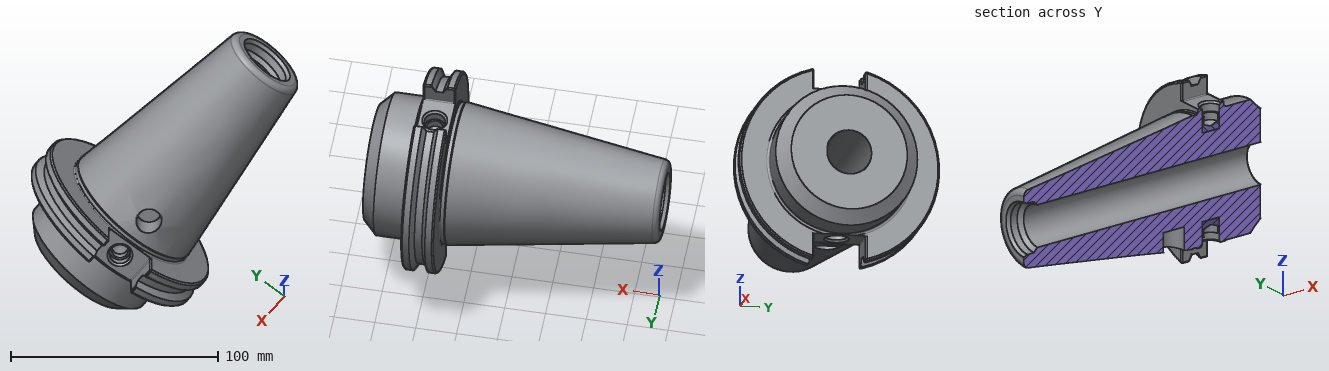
import cadquery as cq
import math


GAUGE_RADIUS = 69.85 / 2
TAPER_LENGTH = 101.6
TAPER_SLOPE = 7 / 48
TAPER_END_FILLET = 3.2

NECK_RADIUS = 69.34 / 2
NECK_STEP_LENGTH = 0.5
NECK_FILLET = 0.7

FLANGE_RADIUS = 98.425 / 2
FLANGE_START = 3.175
FLANGE_WIDTH = 15.875
FLANGE_END = FLANGE_START + FLANGE_WIDTH
FLANGE_CENTER = FLANGE_START + FLANGE_WIDTH / 2
FLANGE_CHAMFER = 0.8
GROOVE_BOTTOM_RADIUS = 91.3 / 2
GROOVE_HALF_ANGLE = math.radians(30)
GROOVE_BOTTOM_HALF_WIDTH = 1.85
GROOVE_DEPTH = FLANGE_RADIUS - GROOVE_BOTTOM_RADIUS
GROOVE_TOP_HALF_WIDTH = GROOVE_BOTTOM_HALF_WIDTH + GROOVE_DEPTH * math.tan(GROOVE_HALF_ANGLE)

NOSE_RADIUS = GAUGE_RADIUS
NOSE_END = 41.28
NOSE_CHAMFER = 6.35
NOSE_FILLET = 1.2

BORE_RADIUS = 21.97 / 2
COUNTERBORE_RADIUS = 26.42 / 2
COUNTERBORE_DEPTH = 6.0
MOUTH_RADIUS = 28.4 / 2
MOUTH_DEPTH = 2.0

SLOT_WIDTH = 25.4
SLOT_FLOORS = {1: 37.5, -1: 35.2}
SLOT_EDGE_CHAMFER = 0.69
SLOT_CORNER_FILLET = 0.5

PLUG_RADIUS = 10.13 / 2
PLUG_MOUTH_RADIUS = 12.2 / 2
PLUG_MOUTH_DEPTH = PLUG_MOUTH_RADIUS - PLUG_RADIUS
PLUG_RECESS = 5.1
PLUG_LENGTH = 8.0
SOCKET_RADIUS = 8 / 2
SOCKET_DEPTH = 4.0
SOCKET_TIP_HALF_ANGLE = math.radians(70)
SOCKET_TIP_DEPTH = SOCKET_RADIUS / math.tan(SOCKET_TIP_HALF_ANGLE)

TAPER_HOLE_RADIUS = 12.2 / 2
TAPER_HOLE_X = -11.1
TAPER_HOLE_FLOOR = 22.0


def revolve_about_x(profile):
    return profile.close().revolve(360, (0, 0, 0), (1, 0, 0))


def make_outside():
    """Taper, neck, flange and nose as one solid of revolution."""
    groove_start = FLANGE_CENTER - GROOVE_TOP_HALF_WIDTH
    groove_end = FLANGE_CENTER + GROOVE_TOP_HALF_WIDTH
    taper_angle = math.atan(TAPER_SLOPE)
    end_x = -TAPER_LENGTH
    end_radius = GAUGE_RADIUS - TAPER_LENGTH * TAPER_SLOPE
    fillet_x = end_x + TAPER_END_FILLET
    fillet_r = end_radius + TAPER_END_FILLET * (TAPER_SLOPE - 1 / math.cos(taper_angle))

    def on_end_fillet(angle):
        """Point on the fillet; 0 faces -X and a right angle faces outward."""
        return (fillet_x - TAPER_END_FILLET * math.cos(angle), fillet_r + TAPER_END_FILLET * math.sin(angle))

    fillet_sweep = math.pi / 2 - taper_angle
    neck_fillet_start = FLANGE_START - NECK_FILLET
    nose_fillet_end = FLANGE_END + NOSE_FILLET

    profile = (
        cq.Workplane("XY")
        .moveTo(end_x, 0)
        .lineTo(*on_end_fillet(0))
        .threePointArc(on_end_fillet(fillet_sweep / 2), on_end_fillet(fillet_sweep))
        .lineTo(0, GAUGE_RADIUS)
        .lineTo(NECK_STEP_LENGTH, NECK_RADIUS)
        .lineTo(neck_fillet_start, NECK_RADIUS)
        .radiusArc((FLANGE_START, NECK_RADIUS + NECK_FILLET), -NECK_FILLET)
        .lineTo(FLANGE_START, FLANGE_RADIUS - FLANGE_CHAMFER)
        .lineTo(FLANGE_START + FLANGE_CHAMFER, FLANGE_RADIUS)
        .lineTo(groove_start, FLANGE_RADIUS)
        .lineTo(FLANGE_CENTER - GROOVE_BOTTOM_HALF_WIDTH, GROOVE_BOTTOM_RADIUS)
        .lineTo(FLANGE_CENTER + GROOVE_BOTTOM_HALF_WIDTH, GROOVE_BOTTOM_RADIUS)
        .lineTo(groove_end, FLANGE_RADIUS)
        .lineTo(FLANGE_END - FLANGE_CHAMFER, FLANGE_RADIUS)
        .lineTo(FLANGE_END, FLANGE_RADIUS - FLANGE_CHAMFER)
        .lineTo(FLANGE_END, NOSE_RADIUS + NOSE_FILLET)
        .radiusArc((nose_fillet_end, NOSE_RADIUS), -NOSE_FILLET)
        .lineTo(NOSE_END - NOSE_CHAMFER, NOSE_RADIUS)
        .lineTo(NOSE_END, NOSE_RADIUS - NOSE_CHAMFER)
        .lineTo(NOSE_END, 0)
    )
    return revolve_about_x(profile)


def make_bore():
    """Through bore with a chamfered counterbore at the taper end."""
    counterbore_end = -TAPER_LENGTH + COUNTERBORE_DEPTH
    cone_length = COUNTERBORE_RADIUS - BORE_RADIUS
    profile = (
        cq.Workplane("XY")
        .moveTo(-TAPER_LENGTH, 0)
        .lineTo(-TAPER_LENGTH, MOUTH_RADIUS)
        .lineTo(-TAPER_LENGTH + MOUTH_DEPTH, COUNTERBORE_RADIUS)
        .lineTo(counterbore_end, COUNTERBORE_RADIUS)
        .lineTo(counterbore_end + cone_length, BORE_RADIUS)
        .lineTo(NOSE_END, BORE_RADIUS)
        .lineTo(NOSE_END, 0)
    )
    return revolve_about_x(profile)


def make_slot(side):
    """Drive slot with flared edges, open outward on the given Z side."""
    floor = SLOT_FLOORS[side]
    half_width = SLOT_WIDTH / 2
    wide_half_width = half_width + SLOT_EDGE_CHAMFER
    flare_end = math.sqrt(FLANGE_RADIUS**2 - wide_half_width**2)
    flare_start = flare_end - SLOT_EDGE_CHAMFER

    start_x = FLANGE_START - NECK_FILLET
    end_x = FLANGE_END + NOSE_FILLET
    channel = (
        cq.Workplane("YZ", origin=(start_x, 0, 0))
        .moveTo(-half_width, floor)
        .lineTo(half_width, floor)
        .lineTo(half_width, flare_start)
        .lineTo(wide_half_width, flare_end)
        .lineTo(wide_half_width, FLANGE_RADIUS)
        .lineTo(-wide_half_width, FLANGE_RADIUS)
        .lineTo(-wide_half_width, flare_end)
        .lineTo(-half_width, flare_start)
        .close()
        .extrude(end_x - start_x)
        .edges("|X and <Z")
        .fillet(SLOT_CORNER_FILLET)
    )
    slot = channel
    for face_x, inward in ((FLANGE_START, 1), (FLANGE_END, -1)):
        slot = slot.union(
            cq.Workplane("XY", origin=(0, 0, floor))
            .moveTo(face_x, -wide_half_width)
            .lineTo(face_x + inward * SLOT_EDGE_CHAMFER, -half_width)
            .lineTo(face_x + inward * SLOT_EDGE_CHAMFER, half_width)
            .lineTo(face_x, wide_half_width)
            .close()
            .extrude(FLANGE_RADIUS - floor)
        )
    return to_side(slot, side)


def to_side(shape, side):
    """Turn a shape made on the +Z side about the X axis to the given Z side."""
    return shape if side > 0 else shape.rotate((0, 0, 0), (1, 0, 0), 180)


def along_z(radius, x, z_from, z_to):
    """Cylinder parallel to Z between two heights."""
    return cq.Workplane("XY", origin=(x, 0, z_from)).circle(radius).extrude(z_to - z_from)


def on_slot_floor(profile, side):
    """Revolve a (radius, height) profile about the middle of a slot floor."""
    upright = profile.close().revolve(360, (0, 0, 0), (0, 1, 0))
    return to_side(upright.translate((FLANGE_CENTER, 0, SLOT_FLOORS[side])), side)


def make_plug_hole(side):
    """Blind hole with a chamfered mouth in a slot floor."""
    depth = PLUG_RECESS + PLUG_LENGTH
    profile = (
        cq.Workplane("XZ")
        .moveTo(0, 0)
        .lineTo(PLUG_MOUTH_RADIUS, 0)
        .lineTo(PLUG_RADIUS, -PLUG_MOUTH_DEPTH)
        .lineTo(PLUG_RADIUS, -depth)
        .lineTo(0, -depth)
    )
    return on_slot_floor(profile, side)


def make_plug(side):
    """Round plug that fills the bottom of its hole, with a drilled socket in its face."""
    bottom = -PLUG_RECESS - PLUG_LENGTH
    socket_end = -PLUG_RECESS - SOCKET_DEPTH
    profile = (
        cq.Workplane("XZ")
        .moveTo(0, socket_end - SOCKET_TIP_DEPTH)
        .lineTo(SOCKET_RADIUS, socket_end)
        .lineTo(SOCKET_RADIUS, -PLUG_RECESS)
        .lineTo(PLUG_RADIUS, -PLUG_RECESS)
        .lineTo(PLUG_RADIUS, bottom)
        .lineTo(0, bottom)
    )
    return on_slot_floor(profile, side)


def make_holder():
    holder = make_outside().cut(make_bore())
    for side in SLOT_FLOORS:
        holder = holder.cut(make_slot(side))
        holder = holder.cut(make_plug_hole(side))
    taper_hole = along_z(TAPER_HOLE_RADIUS, TAPER_HOLE_X, -GAUGE_RADIUS, -TAPER_HOLE_FLOOR)
    return holder.cut(taper_hole)


holder = make_holder()
plugs = [make_plug(side) for side in SLOT_FLOORS]

result = cq.Compound.makeCompound([holder.val(), *[plug.val() for plug in plugs]])